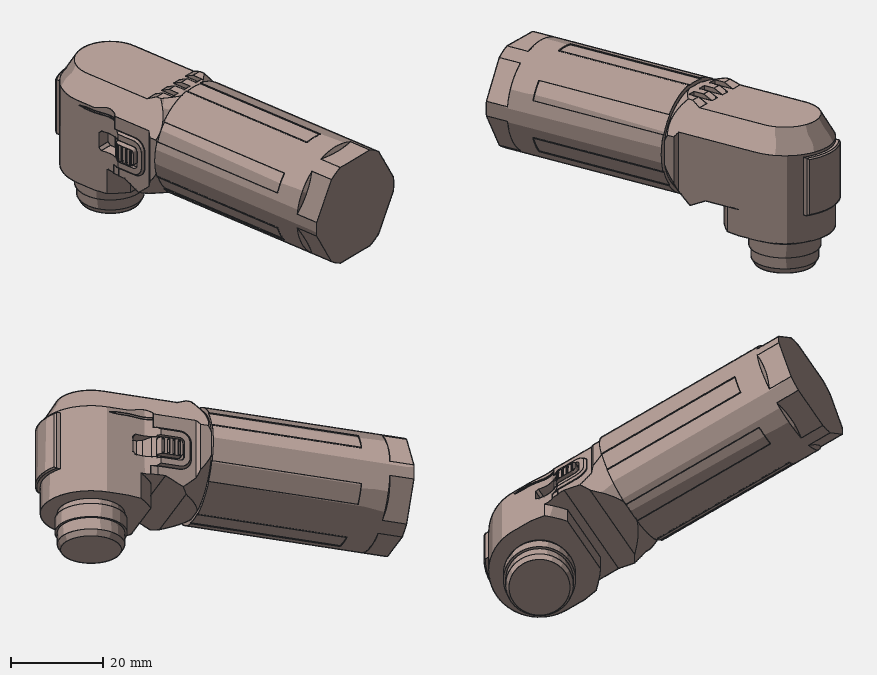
import cadquery as cq


SLEEVE_R = 13.0
SLEEVE_START = 23.6
SLEEVE_END = 69.7
GROOVE_END = 57.9
GROOVE_WIDTH = 4.6
GROOVE_DEPTH = 0.25
GRIP_COUNT = 6
HEX_APOTHEM = 12.0
HEX_SIDES = 6
HEX_START = 64.1
HEX_CONE_LENGTH = 0.6

BODY_R = 11.05
TOP_Z = 10.8
TOP_HALF_WIDTH = 7.85
SHOULDER_Z = 5.4
HOUSING_BOTTOM = -15.3
HOUSING_END_X = 11.45
HOUSING_END_HALF_WIDTH = 6.7
HOUSING_CORNER_BULGE = 0.1
BEVEL_START_X = 4.7
BEVEL_END_X = 7.9
BEVEL_SLOPE = 0.16

NECK_R = 11.9
NECK_HALF_WIDTH = 11.7
NECK_STEP_X = 20.4
NECK_STEP_END_X = 21.2
ARM_BOTTOM = -9.2
RAMP_START_X = 17.1
RAMP_END_X = 19.3
UNDERSIDE_START_X = 13.3
UNDERSIDE_END_X = 18.7
NECK_CONE_R = 12.0
NECK_CONE_SLOPE = 0.59
FINGER_GAP_WIDTH = 2.0
FINGER_GAP_PITCH = 4.0
FINGER_GAP_END_X = 21.8

PLUG_R = 7.4
PLUG_RING_R = 7.85
PLUG_RING_TOP = -16.8
PLUG_RING_BOTTOM = -20.0
PLUG_BOTTOM = -24.05
PLUG_CHAMFER_WIDTH = 0.7
PLUG_CHAMFER_HEIGHT = 1.3

PLATE_R = 12.1
PLATE_WIDTH = 12.5
PLATE_TOP = 4.75
PLATE_BOTTOM = -8.8
PLATE_CHAMFER = 0.3

LATCH_Z = -2.45
PAD_START_X = 12.0
PAD_END_X = 19.2
PAD_TOP = 2.2
PAD_BOTTOM = -7.1
PAD_CORNER_R = 2.8
PAD_FACE_Y = -11.7
PAD_CHAMFER = 0.5
RECESS_END_X = 17.5
RECESS_HEIGHT = 5.5
RECESS_CORNER_R = 1.2
RECESS_FLOOR_Y = -10.8
WINDOW_START_X = 5.9
WINDOW_END_X = 11.4
WINDOW_HEIGHT = 4.9
WINDOW_FLOOR_Y = -7.7
WINDOW_CHAMFER = 0.65
LEVER_START_X = 7.8
LEVER_FOOT = (9.0, -8.35)
LEVER_LEDGE = (10.3, -10.5)
BUTTON_FACE_Y = -12.3
BUTTON_ROUND_MID = (11.8, -11.9)
BUTTON_ROUND_END_X = 12.8
BUTTON_END_X = 16.9
BUTTON_HEIGHT = 4.0
BUTTON_CORNER_R = 0.8
RIB_GAP_START_X = 12.2
RIB_GAP_PITCH = 1.2
RIB_GAP_COUNT = 4
RIB_GAP_WIDTH = 0.5
RIB_GAP_DEPTH = 0.3
RIB_GAP_HEIGHT = 3.35

SCOOP_TOP = 6.95
SCOOP_UPPER_BREAK_X = 7.1
SCOOP_LOWER_BREAK_X = BEVEL_END_X
SCOOP_DEEPEST = (9.4, -10.55)
SCOOP_UPPER_END_X = 10.55
SCOOP_LOWER_END_X = 10.1
NOTCH_END_X = 11.6
NOTCH_DEPTH = 0.2

POINTER_Z = 4.3
POINTER_START_X = 0.5
POINTER_NECK_X = 2.3
POINTER_END_X = 10.5
POINTER_WIDTH = 0.5
POINTER_DEPTH = 0.2

CLEARANCE = 4.1


def box(x0, x1, y0, y1, z0, z1):
    return cq.Workplane("XY").box(x1 - x0, y1 - y0, z1 - z0, centered=False).translate((x0, y0, z0))


def plan_prism(outline, z0, z1):
    """Close an XY outline and extrude it from z0 to z1."""
    return outline.close().extrude(z1 - z0).translate((0, 0, z0))


def revolve_about_x(points):
    """Revolve (x, radius) points about the sleeve axis."""
    return cq.Workplane("XY").polyline(points).close().revolve(360, (0, 0), (1, 0))


def make_sleeve():
    cone_end = HEX_START + HEX_CONE_LENGTH
    length = SLEEVE_END - HEX_START
    barrel = revolve_about_x([
        (SLEEVE_START, 0),
        (SLEEVE_START, SLEEVE_R),
        (HEX_START, SLEEVE_R),
        (cone_end, HEX_APOTHEM),
        (cone_end, 0),
    ])
    hexagon = (
        cq.Workplane("YZ", origin=(HEX_START, 0, 0))
        .polygon(HEX_SIDES, 2 * HEX_APOTHEM, circumscribed=True)
        .extrude(length)
        .rotate((0, 0, 0), (1, 0, 0), 180 / HEX_SIDES)
    )
    rod = cq.Workplane("YZ", origin=(HEX_START, 0, 0)).circle(SLEEVE_R).extrude(length)
    sleeve = barrel.union(hexagon.intersect(rod))
    groove = box(
        SLEEVE_START, GROOVE_END,
        -GROOVE_WIDTH / 2, GROOVE_WIDTH / 2,
        0, SLEEVE_R + CLEARANCE,
    )
    core = cq.Workplane("YZ").circle(SLEEVE_R - GROOVE_DEPTH).extrude(SLEEVE_END)
    groove = groove.cut(core)
    for i in range(GRIP_COUNT):
        sleeve = sleeve.cut(groove.rotate((0, 0, 0), (1, 0, 0), i * 360 / GRIP_COUNT))
    return sleeve


def make_nose():
    """Round end of the body, with a conical shoulder up to the flat top."""
    return (
        cq.Workplane("XZ")
        .polyline([
            (0, HOUSING_BOTTOM),
            (BODY_R, HOUSING_BOTTOM),
            (BODY_R, SHOULDER_Z),
            (TOP_HALF_WIDTH, TOP_Z),
            (0, TOP_Z),
        ])
        .close()
        .revolve(180, (0, 0), (0, 1))
        .rotate((0, 0, 0), (0, 0, 1), 90)
    )


def bevel_half_width(x):
    """Half width of the body where its sides taper in beyond BEVEL_START_X."""
    return BODY_R - BEVEL_SLOPE * (x - BEVEL_START_X)


def make_housing():
    """Lower socket housing on the sleeve side of the plug axis."""
    bevel_y = bevel_half_width(BEVEL_END_X)
    end_y = HOUSING_END_HALF_WIDTH
    mid_x = (BEVEL_END_X + HOUSING_END_X) / 2 + HOUSING_CORNER_BULGE
    mid_y = (bevel_y + end_y) / 2 + HOUSING_CORNER_BULGE
    outline = (
        cq.Workplane("XY")
        .moveTo(0, -BODY_R)
        .lineTo(BEVEL_START_X, -BODY_R)
        .lineTo(BEVEL_END_X, -bevel_y)
        .threePointArc((mid_x, -mid_y), (HOUSING_END_X, -end_y))
        .lineTo(HOUSING_END_X, end_y)
        .threePointArc((mid_x, mid_y), (BEVEL_END_X, bevel_y))
        .lineTo(BEVEL_START_X, BODY_R)
        .lineTo(0, BODY_R)
    )
    return plan_prism(outline, HOUSING_BOTTOM, ARM_BOTTOM)


def make_arm():
    """Body between the plug axis and the sleeve, with sloped flanks and a coned neck."""
    half_plan = [
        (0, BODY_R),
        (NECK_STEP_X, BODY_R),
        (NECK_STEP_END_X, NECK_HALF_WIDTH),
        (SLEEVE_START, NECK_HALF_WIDTH),
    ]
    plan = half_plan + [(x, -y) for x, y in reversed(half_plan)]
    arm = plan_prism(cq.Workplane("XY").polyline(plan), -NECK_R, NECK_R)

    side = [
        (0, ARM_BOTTOM),
        (0, TOP_Z),
        (RAMP_START_X, TOP_Z),
        (RAMP_END_X, NECK_R),
        (SLEEVE_START, NECK_R),
        (SLEEVE_START, -NECK_R),
        (UNDERSIDE_END_X, -NECK_R),
        (UNDERSIDE_START_X, ARM_BOTTOM),
    ]
    arm = arm.intersect(cq.Workplane("XZ").polyline(side).close().extrude(SLEEVE_R, both=True))

    flank_slope = (BODY_R - TOP_HALF_WIDTH) / (TOP_Z - SHOULDER_Z)
    ridge_half_width = TOP_HALF_WIDTH - flank_slope * (NECK_R - TOP_Z)
    flank_foot_z = SHOULDER_Z - (NECK_HALF_WIDTH - BODY_R) / flank_slope
    half_section = [(NECK_HALF_WIDTH, -NECK_R), (NECK_HALF_WIDTH, flank_foot_z), (ridge_half_width, NECK_R)]
    section = half_section + [(-y, z) for y, z in reversed(half_section)]
    arm = arm.intersect(cq.Workplane("YZ").polyline(section).close().extrude(SLEEVE_START))

    cone_base_r = NECK_CONE_R + NECK_CONE_SLOPE * SLEEVE_START
    cone = revolve_about_x([(0, 0), (0, cone_base_r), (SLEEVE_START, NECK_CONE_R), (SLEEVE_START, 0)])
    arm = arm.intersect(cone)

    for i in (-1, 0, 1):
        y = i * FINGER_GAP_PITCH
        half = FINGER_GAP_WIDTH / 2
        arm = arm.cut(box(RAMP_START_X, FINGER_GAP_END_X, y - half, y + half, TOP_Z, SLEEVE_R))
    return arm


def make_plug():
    ring_height = PLUG_RING_TOP - PLUG_RING_BOTTOM
    plug = (
        cq.Workplane("XY", origin=(0, 0, PLUG_BOTTOM))
        .circle(PLUG_R)
        .extrude(HOUSING_BOTTOM - PLUG_BOTTOM)
        .faces("<Z").edges()
        .chamfer(PLUG_CHAMFER_HEIGHT, PLUG_CHAMFER_WIDTH)
    )
    ring = cq.Workplane("XY", origin=(0, 0, PLUG_RING_BOTTOM)).circle(PLUG_RING_R).extrude(ring_height)
    return plug.union(ring)


def make_label_plate():
    height = PLATE_TOP - PLATE_BOTTOM
    disc = cq.Workplane("XY", origin=(0, 0, PLATE_BOTTOM)).circle(PLATE_R).extrude(height)
    keep = box(-PLATE_R, -BODY_R / 2, -PLATE_WIDTH / 2, PLATE_WIDTH / 2, PLATE_BOTTOM, PLATE_TOP)
    return disc.intersect(keep).faces("<X").edges().chamfer(PLATE_CHAMFER)


def make_scoop(break_x, end_x, z0, z1):
    """Bevel running into a hollow that rises to the near edge of the pad, cut off at end_x."""
    outline = (
        cq.Workplane("XY")
        .moveTo(BEVEL_START_X, -BODY_R)
        .lineTo(break_x, -bevel_half_width(break_x))
        .threePointArc(SCOOP_DEEPEST, (PAD_START_X, PAD_FACE_Y))
        .lineTo(PAD_START_X, -SLEEVE_R)
        .lineTo(BEVEL_START_X, -SLEEVE_R)
    )
    keep = box(0, end_x, -SLEEVE_R - CLEARANCE, 0, z0, z1)
    return plan_prism(outline, z0, z1).intersect(keep)


def make_pad():
    """Raised pad around the latch button, rounded at its far end."""
    return (
        box(SCOOP_UPPER_END_X, PAD_END_X, PAD_FACE_Y, RECESS_FLOOR_Y, PAD_BOTTOM, PAD_TOP)
        .edges("|Y and >X").fillet(PAD_CORNER_R)
        .faces("<Y").edges("not <X").chamfer(PAD_CHAMFER)
    )


def add_scooped_pad(body):
    """Add the pad and hollow the side above, in and below it."""
    body = body.union(make_pad())
    body = body.cut(make_scoop(SCOOP_UPPER_BREAK_X, SCOOP_UPPER_END_X, PAD_TOP, SCOOP_TOP))
    body = body.cut(make_scoop(SCOOP_UPPER_BREAK_X, PAD_START_X, LATCH_Z, PAD_TOP))
    body = body.cut(make_scoop(SCOOP_LOWER_BREAK_X, PAD_START_X, PAD_BOTTOM, LATCH_Z))
    body = body.cut(make_scoop(SCOOP_LOWER_BREAK_X, SCOOP_LOWER_END_X, ARM_BOTTOM, PAD_BOTTOM))
    notch = box(SCOOP_LOWER_END_X, NOTCH_END_X, -SLEEVE_R, NOTCH_DEPTH - BODY_R, ARM_BOTTOM, PAD_BOTTOM)
    return body.cut(notch)


def make_latch_opening():
    """Window in front of the button, joined to a recess that clears the button."""
    half_recess = RECESS_HEIGHT / 2
    half_window = WINDOW_HEIGHT / 2
    recess = box(
        WINDOW_END_X, RECESS_END_X, -SLEEVE_R, RECESS_FLOOR_Y,
        LATCH_Z - half_recess, LATCH_Z + half_recess,
    )
    window = box(
        WINDOW_START_X, WINDOW_END_X, -SLEEVE_R, WINDOW_FLOOR_Y,
        LATCH_Z - half_window, LATCH_Z + half_window,
    )
    recess = recess.edges("|Y and >X").fillet(RECESS_CORNER_R)
    return recess.union(window.edges("|Y and <X").chamfer(WINDOW_CHAMFER))


def make_lever():
    """Lever rising out of the window floor; its rounded end is the ribbed button."""
    half = WINDOW_HEIGHT / 2
    root = plan_prism(
        cq.Workplane("XY").polyline([
            (LEVER_START_X, WINDOW_FLOOR_Y),
            LEVER_FOOT,
            LEVER_LEDGE,
            (WINDOW_END_X, RECESS_FLOOR_Y),
            (WINDOW_END_X, WINDOW_FLOOR_Y),
        ]),
        LATCH_Z - half, LATCH_Z + half,
    )
    half = BUTTON_HEIGHT / 2
    button = plan_prism(
        cq.Workplane("XY")
        .moveTo(WINDOW_END_X, WINDOW_FLOOR_Y)
        .lineTo(WINDOW_END_X, RECESS_FLOOR_Y)
        .threePointArc(BUTTON_ROUND_MID, (BUTTON_ROUND_END_X, BUTTON_FACE_Y))
        .lineTo(BUTTON_END_X, BUTTON_FACE_Y)
        .lineTo(BUTTON_END_X, WINDOW_FLOOR_Y),
        LATCH_Z - half, LATCH_Z + half,
    )
    button = button.edges("|Y and >X").fillet(BUTTON_CORNER_R)
    for i in range(RIB_GAP_COUNT):
        x = RIB_GAP_START_X + i * RIB_GAP_PITCH
        button = button.cut(box(
            x, x + RIB_GAP_WIDTH, -SLEEVE_R, BUTTON_FACE_Y + RIB_GAP_DEPTH,
            LATCH_Z - RIB_GAP_HEIGHT / 2, LATCH_Z + RIB_GAP_HEIGHT / 2,
        ))
    return root.union(button)


def make_pointer_groove():
    """Shallow groove with a pointed end that follows the side of the body into the scoop."""
    half = POINTER_WIDTH / 2
    band = (
        cq.Workplane("XZ")
        .polyline([
            (POINTER_START_X, POINTER_Z),
            (POINTER_NECK_X, POINTER_Z + half),
            (POINTER_END_X, POINTER_Z + half),
            (POINTER_END_X, POINTER_Z - half),
            (POINTER_NECK_X, POINTER_Z - half),
        ])
        .close()
        .extrude(SLEEVE_R)
    )
    flat = box(0, POINTER_END_X, -SLEEVE_R, -BODY_R, PAD_TOP, SCOOP_TOP)
    scoop = make_scoop(SCOOP_UPPER_BREAK_X, POINTER_END_X, PAD_TOP, SCOOP_TOP)
    return flat.union(scoop).translate((0, POINTER_DEPTH, 0)).intersect(band)


body = make_nose().union(make_housing()).union(make_arm())
body = add_scooped_pad(body).cut(make_pointer_groove())
body = body.cut(make_latch_opening()).union(make_lever())
result = body.union(make_plug()).union(make_label_plate()).union(make_sleeve())